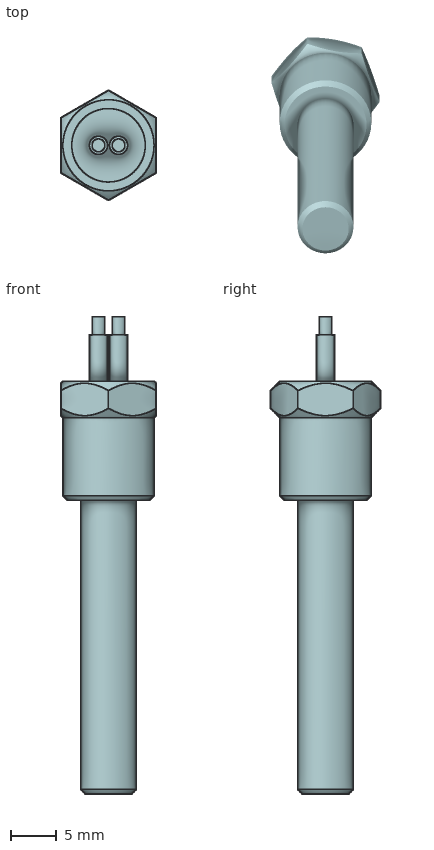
import cadquery as cq
import math

total_height = 52.0
core_length = 2.0
insulation_length = 5.05
hex_height = 4.0
collar_length = 9.0

hex_top = total_height - core_length - insulation_length
hex_bottom = hex_top - hex_height
collar_bottom = hex_bottom - collar_length

hex_across_flats = 10.4
hex_across_corners = hex_across_flats / math.cos(math.pi / 6)
hex_face_diameter = 9.95
collar_diameter = 10.0
collar_chamfer = 0.5
tube_diameter = 6.1
tube_chamfer = 0.5

plug_diameter = 8.0
plug_depth = hex_height
wire_diameter = 2.0
core_diameter = 1.4
wire_pitch = 2.2


def cylinder(diameter, bottom, height, x=0):
    """Upright cylinder centred at the given X."""
    return cq.Workplane("XY", origin=(x, 0, bottom)).circle(diameter / 2).extrude(height)


def make_hex_head():
    """Hexagon with corners on the Y axis, chamfered by a cone at both ends."""
    prism = (
        cq.Workplane("XY", origin=(0, 0, hex_bottom))
        .polygon(6, hex_across_corners)
        .extrude(hex_height)
        .rotate((0, 0, 0), (0, 0, 1), 30)
    )
    envelope_diameter = hex_across_corners + 0.5
    chamfer = (envelope_diameter - hex_face_diameter) / 2
    envelope = cylinder(envelope_diameter, hex_bottom, hex_height).edges("%CIRCLE").chamfer(chamfer)
    return prism.intersect(envelope)


def make_housing():
    """Hexagon head, collar and closed tube, with a recess for the plug."""
    collar = cylinder(collar_diameter, collar_bottom, collar_length)
    collar = collar.faces("<Z").edges().chamfer(collar_chamfer)
    tube = cylinder(tube_diameter, 0, collar_bottom)
    tube = tube.faces("<Z").edges().chamfer(tube_chamfer)
    recess = cylinder(plug_diameter, hex_top - plug_depth, plug_depth)
    return make_hex_head().union(collar).union(tube).cut(recess)


def make_wire(x):
    """Insulated wire with its stripped core at the top."""
    insulation = cylinder(wire_diameter, hex_top, insulation_length, x)
    core = cylinder(core_diameter, hex_top + insulation_length, core_length, x)
    return insulation.union(core)


def make_wired_plug():
    """Plug flush with the top of the hexagon, carrying both wires."""
    plug = cylinder(plug_diameter, hex_top - plug_depth, plug_depth)
    for side in (-1, 1):
        plug = plug.union(make_wire(side * wire_pitch / 2))
    return plug


housing = make_housing()
wired_plug = make_wired_plug()

result = cq.Compound.makeCompound([housing.val(), wired_plug.val()])